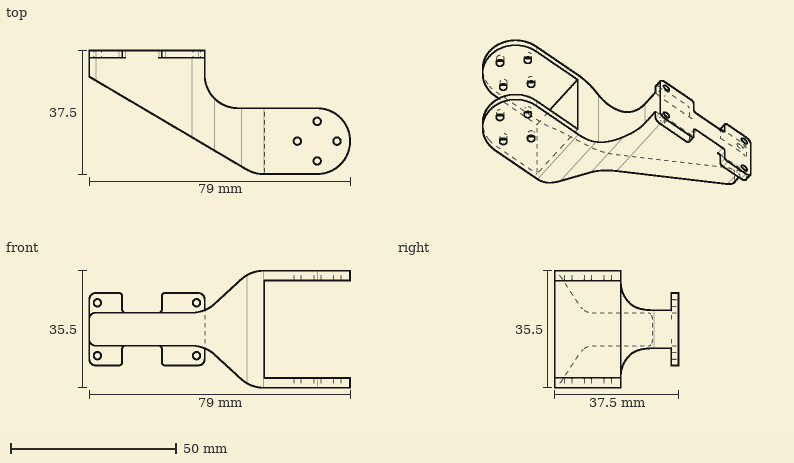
import cadquery as cq

total_length = 79.02
total_depth = 37.5
total_height = 35.5

arm_width = 20.0
arm_thickness = 3.0
arm_end_radius = arm_width / 2
arm_center_x = total_length - arm_end_radius
gap_start_x = 53.0
gap_height = total_height - 2 * arm_thickness

arm_hole_diameter = 2.2
arm_hole_circle_radius = 6.0
arm_hole_count = 4

mount_length = 35.0
neck_height = 10.0
neck_end_radius = 2.0
slant_start_y = 29.5
slant_end_x = 50.0
flare_end_x = 48.9
bend_radius = 10.0

plate_thickness = 2.3
plate_height = 22.0
first_tab_end_x = 10.0
second_tab_start_x = 22.0
tab_outer_radius = 2.0
tab_inner_radius = 1.0
tab_root_radius = 1.0

mount_hole_diameter = 2.2
mount_hole_spacing_x = 30.0
mount_hole_spacing_z = 16.0


def fillet_edges(solid, axis, points, radius):
    """Round the edges parallel to an axis that lie nearest to the given points."""
    for point in points:
        edge = solid.edges("|" + axis).edges(cq.selectors.NearestToPointSelector(point))
        solid = edge.fillet(radius)
    return solid


def xz_block(outline, y_start, y_end):
    """Extrude a closed list of (x, z) points from y_start to y_end."""
    plane = cq.Workplane("XZ", origin=(0, y_start, 0))
    return plane.polyline(outline).close().extrude(y_start - y_end)


def make_plan_body():
    """Outline seen along Z, extruded over the full height."""
    outline = (
        cq.Workplane("XY", origin=(0, 0, -total_height / 2))
        .moveTo(0, slant_start_y)
        .lineTo(slant_end_x, 0)
        .lineTo(arm_center_x, 0)
        .threePointArc((total_length, arm_width / 2), (arm_center_x, arm_width))
        .lineTo(mount_length, arm_width)
        .lineTo(mount_length, total_depth)
        .lineTo(0, total_depth)
        .close()
    )
    bends = [(slant_end_x, 0, 0), (mount_length, arm_width, 0)]
    return fillet_edges(outline.extrude(total_height), "Z", bends, bend_radius)


def make_side_body():
    """Outline seen along Y: a slim neck that flares out to the full clevis height."""
    half_neck = neck_height / 2
    half_height = total_height / 2
    upper = [
        (0, half_neck),
        (mount_length, half_neck),
        (flare_end_x, half_height),
        (total_length, half_height),
    ]
    lower = [(x, -z) for x, z in reversed(upper)]
    body = xz_block(upper + lower, 0, total_depth)

    middle_y = total_depth / 2
    for side in (1, -1):
        neck_corner = (0, middle_y, side * half_neck)
        neck_bend = (mount_length, middle_y, side * half_neck)
        clevis_bend = (flare_end_x, middle_y, side * half_height)
        body = fillet_edges(body, "Y", [neck_corner], neck_end_radius)
        body = fillet_edges(body, "Y", [neck_bend, clevis_bend], bend_radius)
    return body


def make_clevis_gap():
    """Block removed between the two arms."""
    gap_length = total_length - gap_start_x
    corner = cq.Workplane("XY", origin=(gap_start_x, 0, 0))
    return corner.box(gap_length, arm_width, gap_height, centered=(False, False, True))


def make_plate():
    """H-shaped plate on the back of the neck with rounded tab corners and roots."""
    half_plate = plate_height / 2
    half_neck = neck_height / 2
    upper = [
        (0, half_plate),
        (first_tab_end_x, half_plate),
        (first_tab_end_x, half_neck),
        (second_tab_start_x, half_neck),
        (second_tab_start_x, half_plate),
        (mount_length, half_plate),
    ]
    lower = [(x, -z) for x, z in reversed(upper)]
    plate_front_y = total_depth - plate_thickness
    plate = xz_block(upper + lower, plate_front_y, total_depth)

    middle_y = total_depth - plate_thickness / 2
    tab_edges = (first_tab_end_x, second_tab_start_x)
    for side in (1, -1):
        outer_corners = [(x, middle_y, side * half_plate) for x in (0, mount_length)]
        inner_corners = [(x, middle_y, side * half_plate) for x in tab_edges]
        roots = [(x, middle_y, side * half_neck) for x in tab_edges]
        plate = fillet_edges(plate, "Y", outer_corners, tab_outer_radius)
        plate = fillet_edges(plate, "Y", inner_corners, tab_inner_radius)
        plate = fillet_edges(plate, "Y", roots, tab_root_radius)
    return plate


def make_mount_holes():
    return (
        cq.Workplane("XZ", origin=(mount_length / 2, total_depth, 0))
        .rarray(mount_hole_spacing_x, mount_hole_spacing_z, 2, 2)
        .circle(mount_hole_diameter / 2)
        .extrude(plate_thickness)
    )


def make_arm_holes():
    return (
        cq.Workplane("XY", origin=(arm_center_x, arm_width / 2, -total_height / 2))
        .polarArray(arm_hole_circle_radius, 0, 360, arm_hole_count)
        .circle(arm_hole_diameter / 2)
        .extrude(total_height)
    )


bracket = make_plan_body().intersect(make_side_body())
bracket = bracket.cut(make_clevis_gap())
bracket = bracket.union(make_plate())
bracket = bracket.cut(make_mount_holes())
result = bracket.cut(make_arm_holes())